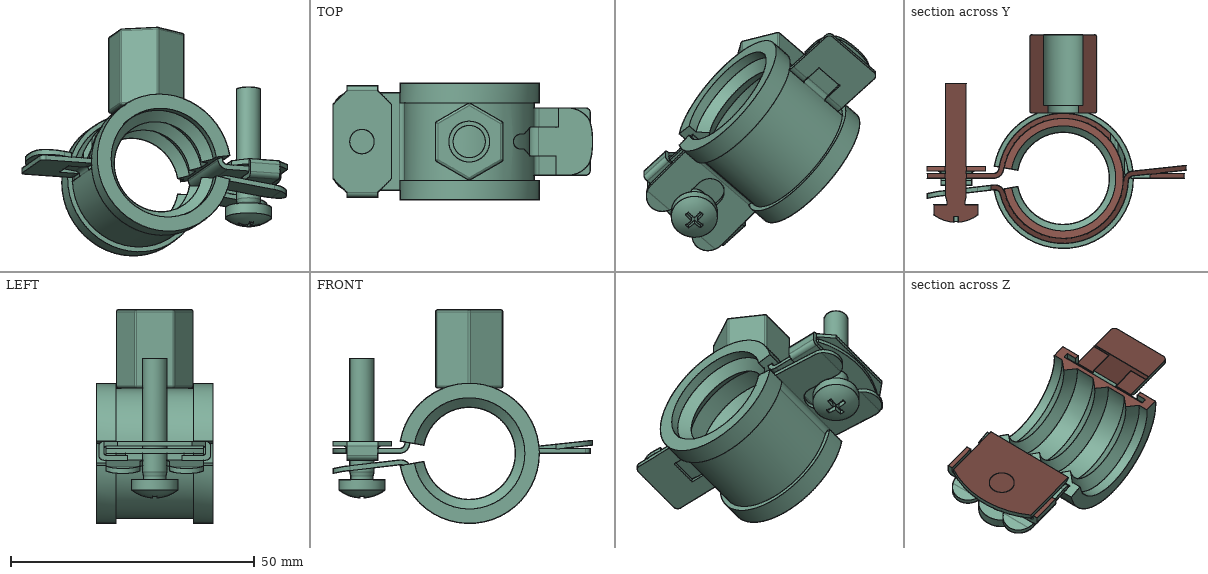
import cadquery as cq
import math

SHEET = 1.0
OVERSIZE = 53.45

LINER_RADIUS = 14.45
BAND_RADIUS = LINER_RADIUS - SHEET
BAND_INNER_RADIUS = BAND_RADIUS - SHEET
BAND_HALF_WIDTH = 10.05
BEND_RADIUS = 1.05
BEND_CENTER_RADIUS = BAND_RADIUS + BEND_RADIUS

LINER_HALF_WIDTH = 12.005
FLANGE_INNER_Y = 7.95
LINER_BORE_RADIUS = 11.45
LIP_HEIGHT = 2.0
LIP_PITCH = 8.0
LINER_GAP_ANGLE = 20.0

UPPER_LEAF_UNDERSIDE = 0.0
UPPER_LEAF_END_X = -28.05
UPPER_LEAF_CORNER_X = -25.35
HINGE_HALF_WIDTH = 6.95
HINGE_TAB_END_X = 24.9
HINGE_TAB_CORNER_RADIUS = 1.0
KEYHOLE_NOSE_X = 10.65
KEYHOLE_NOSE_RADIUS = 1.55
KEYHOLE_FLARE_START_X = 11.3
KEYHOLE_FLARE_END_X = 12.6

LOWER_LEAF_TILT = 6.6
LOWER_LEAF_UNDERSIDE = -0.71
EAR_X = -24.5
EAR_FOLD_X = -25.95
EAR_RADIUS = 7.0 / 2
EAR_TILT = 11.5
EAR_Y = BAND_HALF_WIDTH - EAR_RADIUS
SCREW_SLOT_HALF_WIDTH = EAR_Y - EAR_RADIUS
SCREW_SLOT_END_X = -17.65
TONGUE_TILT = 6.1
TONGUE_UNDERSIDE = -1.03
TONGUE_HALF_WIDTH = 3.0
BAND_SHOULDER_Z = -0.55
HOOK_FRONT_X = 17.8
HOOK_BACK_X = 18.35
HOOK_ROUND_X = 19.95
HOOK_SHOULDER_X = 24.1
HOOK_SHOULDER_Y = 5.25
HOOK_TIP_X = 25.4

CLIP_LEFT_X = UPPER_LEAF_END_X
CLIP_RIGHT_X = -16.0
CLIP_WING_LEFT_X = -25.2
CLIP_WING_RIGHT_X = -18.8
CLIP_EDGE_HALF_LENGTH = 7.65
CLIP_HALF_WIDTH = 11.5
CLIP_TOP_Z = 2.485
CLIP_BOTTOM_Z = -1.415
CLIP_LIP_Y = 5.55
CLIP_OUTER_RADIUS = 1.0
CLIP_INNER_RADIUS = 0.6

SCREW_X = -22.1
SCREW_RADIUS = 5.0 / 2
SCREW_TOP_Z = 19.55
THREAD_END_Z = -3.825
NECK_TOP_Z = -4.65
NECK_RADIUS = 4.65 / 2
HEAD_RADIUS = 9.5 / 2
HEAD_TOP_Z = -5.4
DOME_START_Z = -7.55
HEAD_BOTTOM_Z = -9.2
RECESS_WIDTH = 0.85
RECESS_LENGTH = 4.3
RECESS_DEPTH = 1.35

NUT_ACROSS_FLATS = 13.85
NUT_TOP_Z = 29.55
NUT_BOTTOM_Z = BAND_RADIUS
NUT_EDGE_RADIUS = 0.5
NUT_BORE = 8.4
NUT_LOWER_BORE = 6.65
NUT_FLOOR = 1.6


def polar(radius, degrees, center=(0, 0)):
    angle = math.radians(degrees)
    return (center[0] + radius * math.cos(angle), center[1] + radius * math.sin(angle))


def plate(points, half_width):
    """A polygon in the XZ plane, extruded to both sides of Y = 0."""
    return cq.Workplane("XZ").polyline(points).close().extrude(half_width, both=True)


def curved_plate(center, inner_radius, start, end, half_width):
    """A sheet bent round a centre in the XZ plane, between two angles in degrees."""
    outer_radius = inner_radius + SHEET
    middle = (start + end) / 2
    return (
        cq.Workplane("XZ")
        .moveTo(*polar(inner_radius, start, center))
        .threePointArc(polar(inner_radius, middle, center), polar(inner_radius, end, center))
        .lineTo(*polar(outer_radius, end, center))
        .threePointArc(polar(outer_radius, middle, center), polar(outer_radius, start, center))
        .close()
        .extrude(half_width, both=True)
    )


def bend_center(height, tilt, side):
    """Centre of the bend between the ring and a leaf.

    The centre lies `height` from the ring axis, square to the leaf; `side` is -1 or 1 along X.
    """
    along = side * math.sqrt(BEND_CENTER_RADIUS**2 - height**2)
    return polar(along, tilt, polar(height, 90 + tilt))


def leaf(foot, tilt, side, half_width):
    """A flat sheet that starts with its underside at `foot` and runs outward."""
    top = polar(SHEET, 90 + tilt, foot)
    reach = side * OVERSIZE
    return plate([foot, polar(reach, tilt, foot), polar(reach, tilt, top), top], half_width)


def direction_to_axis(center):
    return math.degrees(math.atan2(-center[1], -center[0])) % 360


def plan_block(outline):
    """Extrudes a closed outline in the XY plane far up and down."""
    return outline.extrude(OVERSIZE, both=True)


def make_upper_band():
    height = UPPER_LEAF_UNDERSIDE + SHEET + BEND_RADIUS
    center = bend_center(height, 0, -1)
    mirrored_center = (-center[0], center[1])
    toward_axis = direction_to_axis(center)
    ring_end = math.degrees(math.asin(height / BEND_CENTER_RADIUS))
    ring = curved_plate((0, 0), BAND_INNER_RADIUS, ring_end, 180 - ring_end, BAND_HALF_WIDTH)

    screw_bend = curved_plate(center, BEND_RADIUS, 270, toward_axis, BAND_HALF_WIDTH)
    screw_outline = plan_block(
        cq.Workplane("XY")
        .moveTo(center[0], -BAND_HALF_WIDTH)
        .lineTo(UPPER_LEAF_CORNER_X, -BAND_HALF_WIDTH)
        .threePointArc((UPPER_LEAF_END_X, 0), (UPPER_LEAF_CORNER_X, BAND_HALF_WIDTH))
        .lineTo(center[0], BAND_HALF_WIDTH)
        .close()
    )
    screw_foot = (center[0], UPPER_LEAF_UNDERSIDE)
    screw_leaf = leaf(screw_foot, 0, -1, BAND_HALF_WIDTH).intersect(screw_outline)

    hinge_bend = curved_plate(mirrored_center, BEND_RADIUS, 540 - toward_axis, 270, HINGE_HALF_WIDTH)
    hinge_tab = (
        cq.Workplane("XY", origin=(0, 0, UPPER_LEAF_UNDERSIDE))
        .moveTo((mirrored_center[0] + HINGE_TAB_END_X) / 2, 0)
        .rect(HINGE_TAB_END_X - mirrored_center[0], 2 * HINGE_HALF_WIDTH)
        .extrude(SHEET)
        .edges("|Z and >X")
        .fillet(HINGE_TAB_CORNER_RADIUS)
    )
    band = ring.union(screw_bend).union(screw_leaf).union(hinge_bend).union(hinge_tab)
    return band.cut(make_keyhole()).cut(make_screw_hole())


def make_keyhole():
    """The slot in the hinge side: a round nose that flares to the width of the tongue."""
    return (
        cq.Workplane("XY")
        .moveTo(KEYHOLE_NOSE_X, KEYHOLE_NOSE_RADIUS)
        .threePointArc((KEYHOLE_NOSE_X - KEYHOLE_NOSE_RADIUS, 0), (KEYHOLE_NOSE_X, -KEYHOLE_NOSE_RADIUS))
        .lineTo(KEYHOLE_FLARE_START_X, -KEYHOLE_NOSE_RADIUS)
        .lineTo(KEYHOLE_FLARE_END_X, -TONGUE_HALF_WIDTH)
        .lineTo(HOOK_FRONT_X, -TONGUE_HALF_WIDTH)
        .lineTo(HOOK_FRONT_X, TONGUE_HALF_WIDTH)
        .lineTo(KEYHOLE_FLARE_END_X, TONGUE_HALF_WIDTH)
        .lineTo(KEYHOLE_FLARE_START_X, KEYHOLE_NOSE_RADIUS)
        .close()
        .extrude(OVERSIZE)
    )


def make_screw_hole():
    return plan_block(cq.Workplane("XY").moveTo(SCREW_X, 0).circle(SCREW_RADIUS))


def make_lower_band():
    leaf_center = bend_center(LOWER_LEAF_UNDERSIDE - BEND_RADIUS, LOWER_LEAF_TILT, -1)
    tongue_center = bend_center(TONGUE_UNDERSIDE - BEND_RADIUS, TONGUE_TILT, 1)
    leaf_to_axis = direction_to_axis(leaf_center)
    tongue_to_axis = direction_to_axis(tongue_center)

    ring_start = 180 + leaf_to_axis
    shoulder = 360 + math.degrees(math.asin(BAND_SHOULDER_Z / BAND_RADIUS))
    ring = curved_plate((0, 0), BAND_INNER_RADIUS, ring_start, shoulder, BAND_HALF_WIDTH)
    neck_end = 180 + tongue_to_axis
    neck = curved_plate((0, 0), BAND_INNER_RADIUS, shoulder, neck_end, TONGUE_HALF_WIDTH)

    leaf_normal = 90 + LOWER_LEAF_TILT
    leaf_bend = curved_plate(leaf_center, BEND_RADIUS, leaf_to_axis, leaf_normal, BAND_HALF_WIDTH)
    screw_leaf = make_slotted_leaf(polar(BEND_RADIUS, leaf_normal, leaf_center))

    tongue_normal = 90 + TONGUE_TILT
    tongue_bend = curved_plate(tongue_center, BEND_RADIUS, tongue_normal, tongue_to_axis, TONGUE_HALF_WIDTH)
    tongue_foot = polar(BEND_RADIUS, tongue_normal, tongue_center)
    hook = leaf(tongue_foot, TONGUE_TILT, 1, HINGE_HALF_WIDTH).intersect(make_hook_outline())
    return ring.union(neck).union(leaf_bend).union(screw_leaf).union(tongue_bend).union(hook)


def make_slotted_leaf(foot):
    """The leaf under the clip, forked by the screw slot and ending in two round, folded-down ears."""
    leaf_slope = math.tan(math.radians(LOWER_LEAF_TILT))
    ear_slope = math.tan(math.radians(EAR_TILT))
    ear_end_x = EAR_X - 2 * EAR_RADIUS
    fold_bottom = foot[1] + (EAR_FOLD_X - foot[0]) * leaf_slope
    end_bottom = fold_bottom + (ear_end_x - EAR_FOLD_X) * ear_slope
    upright_thickness = SHEET / math.cos(math.radians(LOWER_LEAF_TILT))
    sheet = plate(
        [
            foot,
            (EAR_FOLD_X, fold_bottom),
            (ear_end_x, end_bottom),
            (ear_end_x, end_bottom + upright_thickness),
            (EAR_FOLD_X, fold_bottom + upright_thickness),
            polar(SHEET, 90 + LOWER_LEAF_TILT, foot),
        ],
        BAND_HALF_WIDTH,
    )
    outline = plan_block(
        cq.Workplane("XY").moveTo(EAR_X / 2, 0).rect(-EAR_X, 2 * BAND_HALF_WIDTH)
    )
    ears = plan_block(cq.Workplane("XY").pushPoints([(EAR_X, EAR_Y), (EAR_X, -EAR_Y)]).circle(EAR_RADIUS))
    slot_end = plan_block(cq.Workplane("XY").moveTo(SCREW_SLOT_END_X, 0).circle(SCREW_SLOT_HALF_WIDTH))
    slot_run = plan_block(
        cq.Workplane("XY")
        .moveTo(SCREW_SLOT_END_X - OVERSIZE / 2, 0)
        .rect(OVERSIZE, 2 * SCREW_SLOT_HALF_WIDTH)
    )
    return sheet.intersect(outline.union(ears)).cut(slot_end).cut(slot_run)


def make_hook_outline():
    """Plan of the tongue and its wide hook, with a rounded outer end."""
    rounded_end = [
        (HOOK_ROUND_X, -HINGE_HALF_WIDTH),
        (HOOK_SHOULDER_X, -HOOK_SHOULDER_Y),
        (HOOK_TIP_X, 0),
        (HOOK_SHOULDER_X, HOOK_SHOULDER_Y),
        (HOOK_ROUND_X, HINGE_HALF_WIDTH),
    ]
    directions = [(1, 0), (1, 1), (0, 1), (-1, 1), (-1, 0)]
    return plan_block(
        cq.Workplane("XY")
        .moveTo(0, -TONGUE_HALF_WIDTH)
        .lineTo(HOOK_FRONT_X, -TONGUE_HALF_WIDTH)
        .lineTo(HOOK_FRONT_X, -HINGE_HALF_WIDTH)
        .lineTo(*rounded_end[0])
        .spline(rounded_end[1:], tangents=directions, includeCurrent=True)
        .lineTo(HOOK_BACK_X, HINGE_HALF_WIDTH)
        .lineTo(HOOK_BACK_X, TONGUE_HALF_WIDTH)
        .lineTo(0, TONGUE_HALF_WIDTH)
        .close()
    )


def make_liner():
    """The channel-shaped ring that holds the bands' edges, with three sealing lips inside."""
    profile = (
        cq.Workplane("XY")
        .moveTo(LINER_BORE_RADIUS, LINER_HALF_WIDTH)
        .lineTo(LINER_RADIUS, LINER_HALF_WIDTH)
        .lineTo(LINER_RADIUS, FLANGE_INNER_Y)
        .lineTo(BAND_RADIUS, FLANGE_INNER_Y)
        .lineTo(BAND_RADIUS, BAND_HALF_WIDTH)
        .lineTo(BAND_INNER_RADIUS, BAND_HALF_WIDTH)
        .lineTo(BAND_INNER_RADIUS, -BAND_HALF_WIDTH)
        .lineTo(BAND_RADIUS, -BAND_HALF_WIDTH)
        .lineTo(BAND_RADIUS, -FLANGE_INNER_Y)
        .lineTo(LINER_RADIUS, -FLANGE_INNER_Y)
        .lineTo(LINER_RADIUS, -LINER_HALF_WIDTH)
        .lineTo(LINER_BORE_RADIUS, -LINER_HALF_WIDTH)
    )
    for lip_y in (-LIP_PITCH, 0, LIP_PITCH):
        profile = (
            profile.lineTo(LINER_BORE_RADIUS, lip_y - LIP_HEIGHT)
            .lineTo(LINER_BORE_RADIUS - LIP_HEIGHT, lip_y)
            .lineTo(LINER_BORE_RADIUS, lip_y + LIP_HEIGHT)
        )
    sweep = 360 - LINER_GAP_ANGLE
    ring = profile.close().revolve(sweep, (0, 0, 0), (0, 1, 0))
    return ring.rotate((0, 0, 0), (0, 1, 0), -sweep / 2)


def make_clip():
    """An octagonal plate whose two wings fold round the sides of the upper band's leaf."""
    height = CLIP_TOP_Z - CLIP_BOTTOM_Z
    middle_z = (CLIP_TOP_Z + CLIP_BOTTOM_Z) / 2
    tube = (
        cq.Workplane("YZ")
        .center(0, middle_z)
        .rect(2 * CLIP_HALF_WIDTH, height)
        .extrude(OVERSIZE, both=True)
        .edges("|X")
        .fillet(CLIP_OUTER_RADIUS)
    )
    hollow = (
        cq.Workplane("YZ")
        .center(0, middle_z)
        .rect(2 * (CLIP_HALF_WIDTH - SHEET), height - 2 * SHEET)
        .extrude(OVERSIZE, both=True)
        .edges("|X")
        .fillet(CLIP_INNER_RADIUS)
    )
    lip_gap = (
        cq.Workplane("YZ")
        .center(0, CLIP_BOTTOM_Z)
        .rect(2 * CLIP_LIP_Y, 2 * SHEET)
        .extrude(OVERSIZE, both=True)
    )
    fold_y = CLIP_HALF_WIDTH - CLIP_OUTER_RADIUS
    corners = [
        (CLIP_LEFT_X, CLIP_EDGE_HALF_LENGTH),
        (CLIP_WING_LEFT_X, fold_y),
        (CLIP_WING_LEFT_X, CLIP_HALF_WIDTH),
        (CLIP_WING_RIGHT_X, CLIP_HALF_WIDTH),
        (CLIP_WING_RIGHT_X, fold_y),
        (CLIP_RIGHT_X, CLIP_EDGE_HALF_LENGTH),
    ]
    outline = corners + [(x, -y) for x, y in reversed(corners)]
    clip_block = plan_block(cq.Workplane("XY").polyline(outline).close())
    wings = plan_block(
        cq.Workplane("XY")
        .moveTo((CLIP_WING_LEFT_X + CLIP_WING_RIGHT_X) / 2, 0)
        .rect(CLIP_WING_RIGHT_X - CLIP_WING_LEFT_X, OVERSIZE)
    )
    upper_half = cq.Workplane("XY", origin=(0, 0, middle_z)).rect(2 * OVERSIZE, OVERSIZE).extrude(OVERSIZE)
    folded = tube.cut(hollow).cut(lip_gap).intersect(clip_block)
    return folded.intersect(wings.union(upper_half)).cut(make_screw_hole())


def make_screw():
    """A pan-head screw, head down, with a cross recess."""
    body = (
        cq.Workplane("XZ")
        .moveTo(0, SCREW_TOP_Z)
        .lineTo(SCREW_RADIUS, SCREW_TOP_Z)
        .lineTo(SCREW_RADIUS, THREAD_END_Z)
        .lineTo(NECK_RADIUS, NECK_TOP_Z)
        .lineTo(NECK_RADIUS, HEAD_TOP_Z)
        .lineTo(HEAD_RADIUS, HEAD_TOP_Z)
        .lineTo(HEAD_RADIUS, DOME_START_Z)
    )
    dome_height = DOME_START_Z - HEAD_BOTTOM_Z
    dome_radius = (HEAD_RADIUS**2 + dome_height**2) / (2 * dome_height)
    half_sweep = math.degrees(math.asin(HEAD_RADIUS / dome_radius)) / 2
    dome_middle = polar(dome_radius, -90 + half_sweep, (0, HEAD_BOTTOM_Z + dome_radius))
    body = body.threePointArc(dome_middle, (0, HEAD_BOTTOM_Z)).close().revolve(360, (0, 0, 0), (0, 1, 0))
    recess = (
        cq.Workplane("XY", origin=(0, 0, HEAD_BOTTOM_Z))
        .rect(RECESS_WIDTH, RECESS_LENGTH)
        .extrude(RECESS_DEPTH)
    )
    recess = recess.union(recess.rotate((0, 0, 0), (0, 0, 1), 90))
    return body.cut(recess).translate((SCREW_X, 0, 0))


def make_nut():
    """A long hexagon nut standing on the ring, with corners toward -Y and +Y."""
    height = NUT_TOP_Z - NUT_BOTTOM_Z
    across_corners = NUT_ACROSS_FLATS / math.cos(math.radians(30))
    body = (
        cq.Workplane("XY", origin=(0, 0, NUT_BOTTOM_Z))
        .polygon(6, across_corners)
        .extrude(height)
        .rotate((0, 0, 0), (0, 0, 1), 30)
        .edges()
        .fillet(NUT_EDGE_RADIUS)
    )
    return (
        body.faces(">Z")
        .workplane(origin=(0, 0, NUT_TOP_Z))
        .cboreHole(NUT_LOWER_BORE, NUT_BORE, height - NUT_FLOOR)
    )


lower_band = make_lower_band()
upper_band = make_upper_band().cut(lower_band)
liner = make_liner().cut(lower_band).cut(upper_band)
clip = make_clip()
screw = make_screw()
nut = make_nut()

bodies = [liner, upper_band, lower_band, clip, screw, nut]
result = cq.Compound.makeCompound([body.solids().val() for body in bodies])